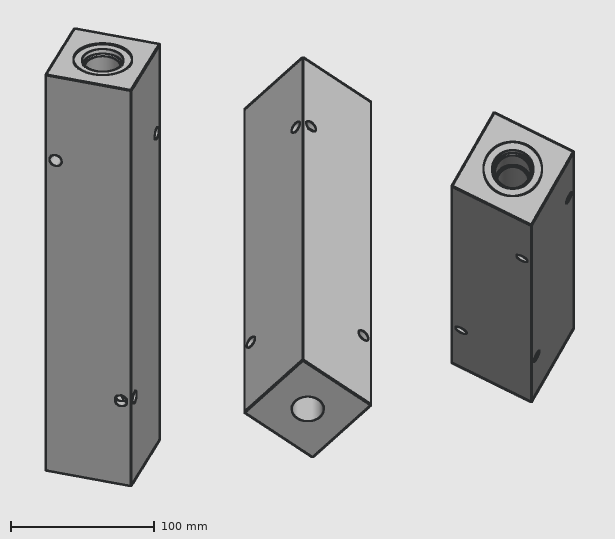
import cadquery as cq

width = 63.5
length = 330.2
edge_chamfer = 0.5

spotface_diameter = 41.0
spotface_depth = 1.0
taper_top_diameter = 29.0
taper_depth = 3.3
taper_end_diameter = 27.5
thread_diameter = 24.8
port_depth = 23.0
bore_diameter = 22.5

mount_diameter = 9.0
mount_side_inset = 7.5
mount_end_inset = 70.0


def bar():
    return cq.Workplane("XY").box(width, width, length).edges().chamfer(edge_chamfer)


def port():
    """Revolved cutter: spotface, tapered seat, 45 degree lead-in, plain thread length,
    45 degree step and through bore.
    """
    top = length / 2
    spotface_floor = top - spotface_depth
    taper_end = spotface_floor - taper_depth
    thread_start = taper_end - (taper_end_diameter - thread_diameter) / 2
    thread_end = top - port_depth
    bore_start = thread_end - (thread_diameter - bore_diameter) / 2
    return (
        cq.Workplane("XZ")
        .moveTo(0, top)
        .lineTo(spotface_diameter / 2, top)
        .lineTo(spotface_diameter / 2, spotface_floor)
        .lineTo(taper_top_diameter / 2, spotface_floor)
        .lineTo(taper_end_diameter / 2, taper_end)
        .lineTo(thread_diameter / 2, thread_start)
        .lineTo(thread_diameter / 2, thread_end)
        .lineTo(bore_diameter / 2, bore_start)
        .lineTo(bore_diameter / 2, -top)
        .lineTo(0, -top)
        .close()
        .revolve(360, (0, 0, 0), (0, 1, 0))
    )


def mounting_holes(plane, upper_side):
    """Two through holes on opposite sides; upper_side is the sign of the upper one."""
    side = upper_side * (width / 2 - mount_side_inset)
    height = length / 2 - mount_end_inset
    return (
        cq.Workplane(plane)
        .pushPoints([(side, height), (-side, -height)])
        .circle(mount_diameter / 2)
        .extrude(width, both=True)
    )


result = (
    bar()
    .cut(port())
    .cut(mounting_holes("XZ", -1))
    .cut(mounting_holes("YZ", 1))
)